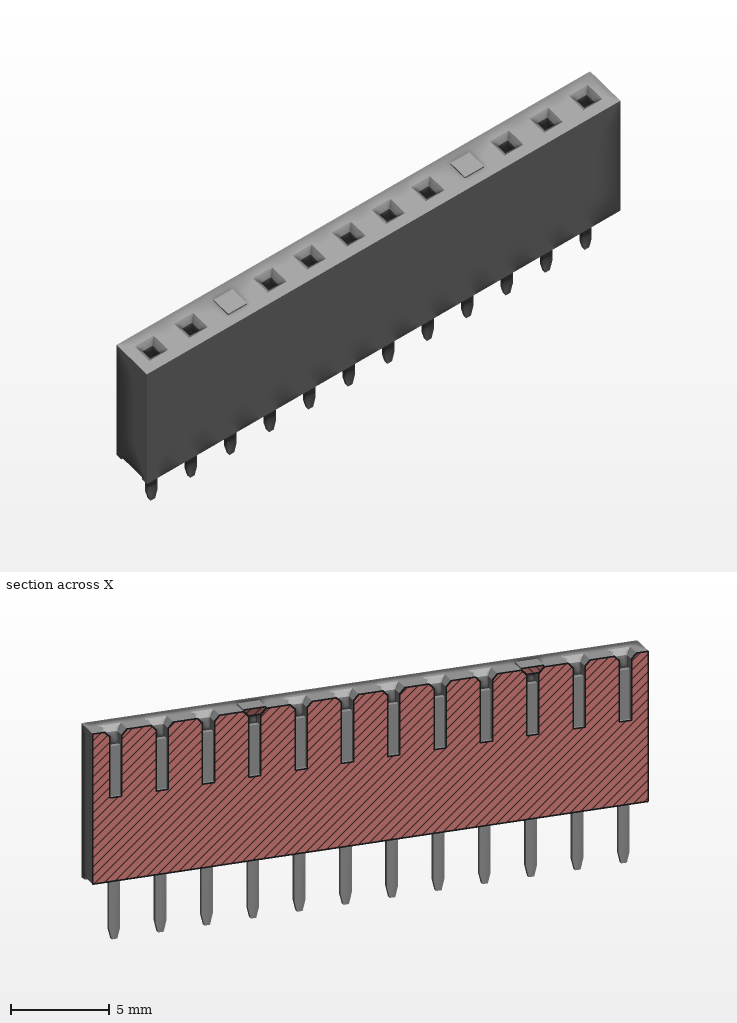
import cadquery as cq

POSITIONS = 12
PLUGGED_POSITIONS = (2, 8)

HOUSING_WIDTH = 2.53
HOUSING_LENGTH = 30.48
PITCH = HOUSING_LENGTH / POSITIONS
HOUSING_HEIGHT = 8.47
RAIL_WIDTH = 0.4
RAIL_HEIGHT = 0.18

MOUTH_SIZE = 1.22
BORE_SIZE = 0.65
FUNNEL_DEPTH = 0.3
SOCKET_DEPTH = 3.65

PIN_THICKNESS = 0.25
PIN_WIDTH = 0.6
PIN_TIP_WIDTH = 0.3
PIN_TIP_LENGTH = 0.6
PIN_PROJECTION = 3.08
BLADE_TOP_DEPTH = 0.9

PLUG_RISE = 0.1


def position_y(index):
    """Y of a socket, counted from the -Y end of the row."""
    return (index - (POSITIONS - 1) / 2) * PITCH


def make_funnel(y):
    """Tapered square volume of a socket mouth."""
    return (
        cq.Workplane("XY", origin=(0, y, HOUSING_HEIGHT))
        .rect(MOUTH_SIZE, MOUTH_SIZE)
        .workplane(offset=-FUNNEL_DEPTH)
        .rect(BORE_SIZE, BORE_SIZE)
        .loft()
    )


def make_bore(y):
    """Square hole from the top face down to the socket floor."""
    return cq.Workplane("XY", origin=(0, y, HOUSING_HEIGHT - SOCKET_DEPTH)).box(
        BORE_SIZE, BORE_SIZE, SOCKET_DEPTH, centered=(True, True, False)
    )


def make_pin(y):
    """Flat blade from inside the socket to a tapered tip below the housing."""
    tip_z = -PIN_PROJECTION
    shoulder_z = tip_z + PIN_TIP_LENGTH
    top_z = HOUSING_HEIGHT - BLADE_TOP_DEPTH
    outline = [
        (-PIN_WIDTH / 2, top_z),
        (-PIN_WIDTH / 2, shoulder_z),
        (-PIN_TIP_WIDTH / 2, tip_z),
        (PIN_TIP_WIDTH / 2, tip_z),
        (PIN_WIDTH / 2, shoulder_z),
        (PIN_WIDTH / 2, top_z),
    ]
    return (
        cq.Workplane("YZ", origin=(0, y, 0))
        .polyline(outline)
        .close()
        .extrude(PIN_THICKNESS / 2, both=True)
    )


def make_housing():
    """Block with a bottom channel, twelve sockets and the pins fixed in it."""
    housing = cq.Workplane("XY").box(
        HOUSING_WIDTH, HOUSING_LENGTH, HOUSING_HEIGHT, centered=(True, True, False)
    )
    channel = cq.Workplane("XY").box(
        HOUSING_WIDTH - 2 * RAIL_WIDTH, HOUSING_LENGTH, RAIL_HEIGHT, centered=(True, True, False)
    )
    housing = housing.cut(channel)
    for index in range(POSITIONS):
        y = position_y(index)
        housing = housing.cut(make_funnel(y)).cut(make_bore(y)).union(make_pin(y))
    return housing


def make_plug(y):
    """Plug that fills a socket mouth and stands slightly above the top face."""
    head = cq.Workplane("XY", origin=(0, y, HOUSING_HEIGHT)).box(
        MOUTH_SIZE, MOUTH_SIZE, PLUG_RISE, centered=(True, True, False)
    )
    return head.union(make_funnel(y))


housing = make_housing()
plugs = [make_plug(position_y(index)) for index in PLUGGED_POSITIONS]

result = cq.Compound.makeCompound([housing.val(), *[plug.val() for plug in plugs]])